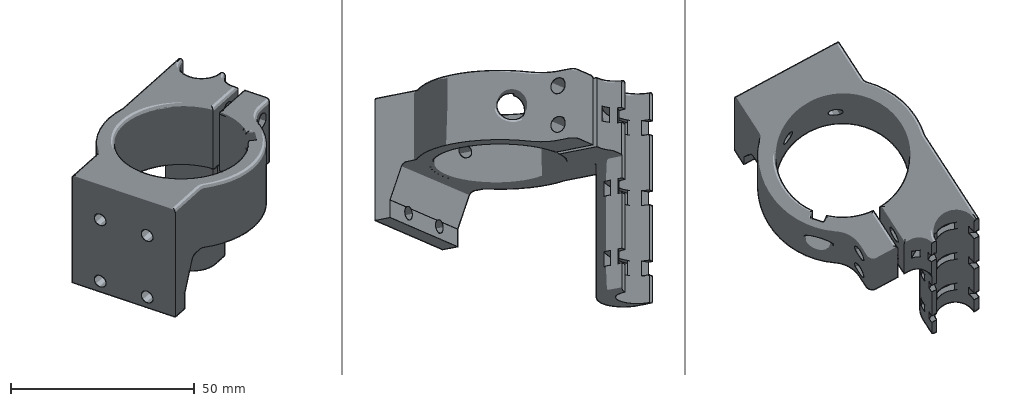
import cadquery as cq
import math


ring_height = 20.0
ring_outer_radius = 23.215
ring_bore_radius = 18.2
edge_radius = 1.0
inside_corner_radius = 2.0
split_gap = 2.0

lug_right = 9.9
lug_back = 31.25
lug_corner_radius = 2.0
lug_blend_radius = 8.3

base_width = 33.0
base_front = -30.0
base_bottom = -15.0
base_front_edge_radius = 0.5
plate_thickness = 5.0
gusset_bottom = -10.0
gusset_top_front = -20.8
gusset_corner_radius = 2.0
base_hole_diameter = 3.7
base_hole_spacing_x = 15.0
base_hole_spacing_z = 20.0
base_hole_lowest = -11.5

cradle_x = -15.0
cradle_width = 14.95
cradle_back = 35.0
cradle_front = 23.0
cradle_bottom = -40.0
cradle_bore_radius = 5.9
cradle_flare_radius = 2.0
arm_relief_radius = 5.0

tie_levels = (10.0, -10.0, -30.0)
tie_width = 4.2
tie_center_y = 48.0
tie_notch_radius = 16.2
tie_slot_inner_radius = 18.4
tie_slot_outer_radius = 20.4

screw_hole_diameter = 4.5
screw_hole_y = 25.85
screw_hole_levels = (4.5, 15.5)
screw_hole_edge_radius = 1.0

window_angle = 42.4
window_diameter = 8.0
window_level = 10.0
window_edge_radius = 1.0
groove_angle = 39.4
groove_width = 4.0
groove_floor_radius = 20.4
groove_edge_radius = 0.5

ring_wall = ring_outer_radius - ring_bore_radius
half_base = base_width / 2
arm_left = cradle_x - cradle_width / 2
arm_right = cradle_x + cradle_width / 2
cradle_radius = cradle_width / 2
cradle_axis_y = cradle_front + cradle_radius
total_height = ring_height - cradle_bottom
base_corner_y = -math.sqrt(ring_outer_radius**2 - half_base**2)
arm_corner_y = math.sqrt(ring_outer_radius**2 - arm_left**2)
arm_overrun = cradle_back + 5.0


def box(x_min, x_max, y_min, y_max, z_min, z_max):
    size = (x_max - x_min, y_max - y_min, z_max - z_min)
    return cq.Workplane("XY").box(*size, centered=False).translate((x_min, y_min, z_min))


def disc(x, y, radius, z_min, height):
    return cq.Workplane("XY", origin=(x, y, z_min)).circle(radius).extrude(height)


def rounded_hole(radius, edge, length):
    """Hole cutter along -Z from the origin, flared by a convex rounded mouth."""
    middle = edge * (1 - math.sqrt(0.5))
    return (
        cq.Workplane("XZ")
        .moveTo(0, 0)
        .lineTo(radius + edge, 0)
        .threePointArc((radius + middle, -middle), (radius, -edge))
        .lineTo(radius, -length)
        .lineTo(0, -length)
        .close()
        .revolve(360, (0, 0, 0), (0, 1, 0))
    )


def clamp_outline():
    """Outer outline of ring, arm, lug and base, starting at the base front left corner."""
    blend_x = lug_right + lug_blend_radius
    blend_reach = ring_outer_radius + lug_blend_radius
    blend_y = math.sqrt(blend_reach**2 - blend_x**2)
    blend_share = ring_outer_radius / blend_reach
    blend_end = (blend_x * blend_share, blend_y * blend_share)
    blend_angle = math.atan2(blend_y, blend_x)
    mid_angle = math.pi + blend_angle / 2
    blend_middle = (
        blend_x + lug_blend_radius * math.cos(mid_angle),
        blend_y + lug_blend_radius * math.sin(mid_angle),
    )
    relief_center = (arm_right + arm_relief_radius, lug_back + arm_relief_radius)
    relief_offset = arm_relief_radius * math.sqrt(0.5)
    return (
        cq.Workplane("XY")
        .moveTo(-half_base, base_front)
        .lineTo(half_base, base_front)
        .lineTo(half_base, base_corner_y)
        .threePointArc((ring_outer_radius, 0), blend_end)
        .threePointArc(blend_middle, (lug_right, blend_y))
        .lineTo(lug_right, lug_back)
        .lineTo(relief_center[0], lug_back)
        .threePointArc(
            (relief_center[0] - relief_offset, relief_center[1] - relief_offset),
            (arm_right, relief_center[1]),
        )
        .lineTo(arm_right, arm_overrun)
        .lineTo(arm_left, arm_overrun)
        .lineTo(arm_left, arm_corner_y)
        .threePointArc((-ring_outer_radius, 0), (-half_base, base_corner_y))
        .close()
    )


def edges_within(low, high):
    """Selector for edges lying entirely in the box spanned by two points, with a little slack."""
    slack = 0.1
    low_corner = tuple(value - slack for value in low)
    high_corner = tuple(value + slack for value in high)
    return cq.selectors.BoxSelector(low_corner, high_corner, boundingbox=True)


def vertical_edges_at(x, y):
    return edges_within((x, y, 0), (x, y, ring_height))


def base_front_rounding():
    """Sliver removed to round the top front edge of the base over its full width."""
    radius = base_front_edge_radius
    middle = radius * (1 - math.sqrt(0.5))
    return (
        cq.Workplane("YZ", origin=(-half_base, 0, 0))
        .moveTo(base_front, ring_height)
        .lineTo(base_front, ring_height - radius)
        .threePointArc(
            (base_front + middle, ring_height - middle), (base_front + radius, ring_height)
        )
        .close()
        .extrude(base_width)
    )


def clamp_body():
    """Ring, arm, lug and upper part of the base, with rounded upper edges."""
    body = clamp_outline().extrude(ring_height)
    for x, y in (
        (-half_base, base_corner_y),
        (half_base, base_corner_y),
        (arm_left, arm_corner_y),
    ):
        body = body.edges(vertical_edges_at(x, y)).fillet(inside_corner_radius)
    body = body.edges(vertical_edges_at(lug_right, lug_back)).fillet(lug_corner_radius)
    bore = rounded_hole(ring_bore_radius, edge_radius, ring_height)
    body = body.cut(bore.rotate((0, 0, 0), (1, 0, 0), 180))
    body = body.cut(box(-split_gap / 2, split_gap / 2, 0, arm_overrun, 0, ring_height))
    front_edge = edges_within((-half_base, base_front, ring_height), (half_base, base_front, ring_height))
    back_edge = edges_within((arm_left, arm_overrun, ring_height), (arm_right, arm_overrun, ring_height))
    square_edges = front_edge + back_edge
    body = body.faces(">Z").edges(cq.selectors.InverseSelector(square_edges)).fillet(edge_radius)
    body = body.cut(base_front_rounding())
    return body


def base_plate():
    """Plate below the ring level and the sloping gusset behind it."""
    plate_back = base_front + plate_thickness
    slope = math.atan2(-gusset_bottom, gusset_top_front - plate_back)
    setback = gusset_corner_radius * math.tan(slope / 2)
    start = (gusset_top_front - setback * math.cos(slope), -setback * math.sin(slope))
    end = (gusset_top_front + setback, 0)
    center = (end[0], -gusset_corner_radius)
    middle_angle = math.pi / 2 + slope / 2
    middle = (
        center[0] + gusset_corner_radius * math.cos(middle_angle),
        center[1] + gusset_corner_radius * math.sin(middle_angle),
    )
    section = (
        cq.Workplane("YZ", origin=(-half_base, 0, 0))
        .moveTo(base_front, base_bottom)
        .lineTo(plate_back, base_bottom)
        .lineTo(plate_back, gusset_bottom)
        .lineTo(*start)
        .threePointArc(middle, end)
        .lineTo(base_front, 0)
        .close()
    )
    return section.extrude(base_width)


def flare_profile():
    """Half section of the concave flare at the top of the cradle column."""
    middle = cradle_flare_radius * (1 - math.sqrt(0.5))
    return (
        cq.Workplane("XZ", origin=(cradle_x, cradle_axis_y, 0))
        .moveTo(0, 0)
        .lineTo(0, -cradle_flare_radius)
        .lineTo(cradle_radius, -cradle_flare_radius)
        .threePointArc(
            (cradle_radius + middle, -middle), (cradle_radius + cradle_flare_radius, 0)
        )
        .close()
    )


def cradle_column():
    """U-shaped column under the arm, flared where it joins the arm."""
    column = (
        cq.Workplane("XY", origin=(0, 0, cradle_bottom))
        .moveTo(arm_left, arm_overrun)
        .lineTo(arm_left, cradle_axis_y)
        .threePointArc((cradle_x, cradle_front), (arm_right, cradle_axis_y))
        .lineTo(arm_right, arm_overrun)
        .close()
        .extrude(-cradle_bottom)
    )
    column = column.faces("<Z").edges("not >Y").fillet(edge_radius)
    round_flare = flare_profile().revolve(360, (0, 0, 0), (0, 1, 0))
    side_flare = flare_profile().extrude(cradle_axis_y - arm_overrun)
    under_arm = clamp_outline().extrude(-cradle_flare_radius)
    flare = round_flare.union(side_flare).intersect(under_arm)
    return column.union(flare)


def cradle_bore():
    cutter = rounded_hole(cradle_bore_radius, edge_radius, total_height)
    return cutter.translate((cradle_x, cradle_back, ring_height))


def tie_channel(level):
    """Curved notch in the cradle rims and curved slot through its walls."""
    bottom = level - tie_width / 2
    notch = disc(cradle_x, tie_center_y, tie_notch_radius, bottom, tie_width)
    slot = disc(cradle_x, tie_center_y, tie_slot_outer_radius, bottom, tie_width)
    land = disc(cradle_x, tie_center_y, tie_slot_inner_radius, bottom, tie_width)
    return slot.cut(land).union(notch)


def screw_hole(level):
    length = ring_outer_radius - arm_left
    cutter = rounded_hole(screw_hole_diameter / 2, screw_hole_edge_radius, length)
    cutter = cutter.rotate((0, 0, 0), (0, 1, 0), -90)
    return cutter.translate((arm_left, screw_hole_y, level))


def base_holes():
    depth = -base_front
    return (
        cq.Workplane("XZ", origin=(0, base_front, base_hole_lowest + base_hole_spacing_z / 2))
        .rarray(base_hole_spacing_x, base_hole_spacing_z, 2, 2)
        .circle(base_hole_diameter / 2)
        .extrude(-depth)
    )


def turned(shape, angle):
    return shape.rotate((0, 0, 0), (0, 0, 1), angle)


def cut_window(body):
    """Window through the ring wall with both of its rims rounded."""
    window = cq.Workplane("YZ").circle(window_diameter / 2).extrude(ring_outer_radius + edge_radius)
    window = window.translate((0, 0, window_level))
    body = turned(body, -window_angle).cut(window)
    half_side = window_diameter / 2 + window_edge_radius
    rims = edges_within(
        (ring_bore_radius - ring_wall, -half_side, window_level - half_side),
        (ring_outer_radius, half_side, window_level + half_side),
    )
    body = body.edges(rims).fillet(window_edge_radius)
    return turned(body, window_angle)


def cut_groove(body):
    """Groove in the bore wall from the window up to the ring top, with rounded edges."""
    half_width = groove_width / 2
    groove_height = ring_height - window_level
    groove = box(0, groove_floor_radius, -half_width, half_width, window_level, ring_height)
    groove = groove.edges("|Z and >X").fillet(groove_edge_radius)
    mouth_x = math.sqrt(ring_bore_radius**2 - half_width**2)
    bore = disc(0, 0, ring_bore_radius, window_level, groove_height)
    mouth_edges = edges_within(
        (mouth_x, -half_width, window_level), (mouth_x, half_width, ring_height)
    )
    side_cutter = bore.union(groove).edges(mouth_edges).edges("|Z").fillet(groove_edge_radius)
    above = box(0, ring_outer_radius, -half_base, half_base, ring_height, 2 * ring_height)
    top_edges = edges_within(
        (0, -half_width, ring_height), (groove_floor_radius, half_width, ring_height)
    )
    rim_cutter = above.union(groove).edges(top_edges).fillet(groove_edge_radius)
    body = turned(body, -groove_angle).cut(side_cutter).cut(rim_cutter)
    return turned(body, groove_angle)


result = clamp_body().union(base_plate()).union(cradle_column())
result = result.intersect(
    box(-ring_outer_radius, ring_outer_radius, base_front, cradle_back, cradle_bottom, ring_height)
)
result = result.cut(cradle_bore())
for tie_level in tie_levels:
    result = result.cut(tie_channel(tie_level))
for screw_level in screw_hole_levels:
    result = result.cut(screw_hole(screw_level))
result = result.cut(base_holes())
result = cut_window(result)
result = cut_groove(result)